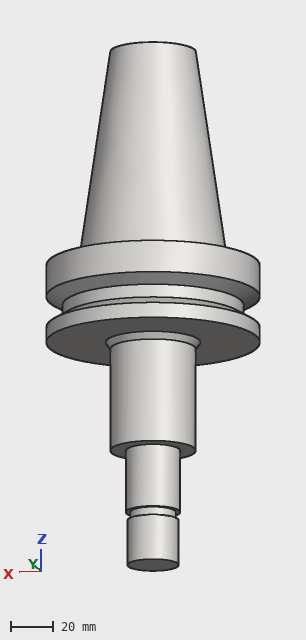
import cadquery as cq

nose_diameter = 24.0
groove_diameter = 21.5
shank_diameter = 25.5
body_diameter = 40.0
collar_diameter = 44.5
flange_diameter = 100.0
flange_groove_diameter = 85.0
taper_large_diameter = 69.8
taper_small_diameter = 40.2

nose_top = 21.5
groove_top = 25.5
shank_top = 55.0
body_top = 104.0
flange_bottom = 107.0
lower_rim_top = 114.3
groove_floor_bottom = 118.7
groove_floor_top = 125.0
upper_rim_bottom = 129.0
flange_top = 144.1
taper_bottom = 145.5
total_height = 246.8

profile_corners = [
    (nose_diameter, 0),
    (nose_diameter, nose_top),
    (groove_diameter, nose_top),
    (groove_diameter, groove_top),
    (shank_diameter, groove_top),
    (shank_diameter, shank_top),
    (body_diameter, shank_top),
    (body_diameter, body_top),
    (collar_diameter, flange_bottom),
    (flange_diameter, flange_bottom),
    (flange_diameter, lower_rim_top),
    (flange_groove_diameter, groove_floor_bottom),
    (flange_groove_diameter, groove_floor_top),
    (flange_diameter, upper_rim_bottom),
    (flange_diameter, flange_top),
    (taper_large_diameter, flange_top),
    (taper_large_diameter, taper_bottom),
    (taper_small_diameter, total_height),
]

outline = [(0, 0)]
for diameter, height in profile_corners:
    outline.append((diameter / 2, height))
outline.append((0, total_height))

result = cq.Workplane("XZ").polyline(outline).close().revolve(360, (0, 0), (0, 1))